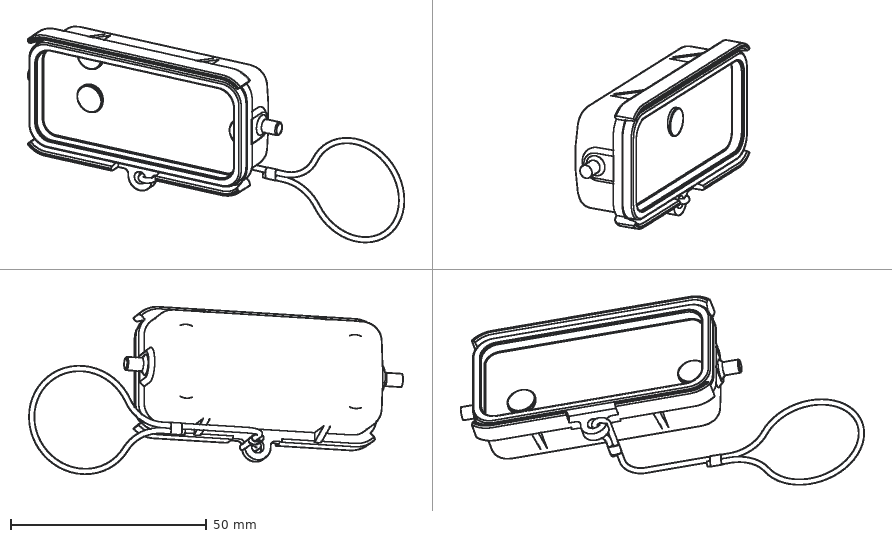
import cadquery as cq
import math


body_half_x, body_half_z = 30.3, 13.9
body_corner_radius = 5.0
back_y = 19.1
crown_radius = 56.7
back_fillet = 2.8

wall, long_wall = 1.5, 2.0
cavity_half_x, cavity_half_z = body_half_x - wall, body_half_z - long_wall
cavity_corner_radius = body_corner_radius - wall
floor_fillet = 1.9
recess_half_x, recess_half_z = 29.2, 12.4
recess_corner_radius = 4.2
recess_end_y = 3.9
mouth_chamfer = 0.3

rim_y = 0.6
flange_front_y, flange_back_y = 3.5, 6.1
lip_half_x, lip_half_z = 31.4, 14.5
flange_half_x, flange_half_z = 31.7, 14.7
flange_corner_radius = 5.6
rim_chamfer = 0.4

skirt_width = 2.1
skirt_half_x, skirt_half_z = flange_half_x + skirt_width, flange_half_z + skirt_width
skirt_root_gap, skirt_tip_gap = 0.2, 0.8
skirt_tip_chamfer, skirt_back_chamfer = 0.4, 0.7
skirt_draft = 1.0

pin_y = 11.3
boss_face_x = 31.5
boss_root_radius, boss_face_radius = 4.5, 3.4
collar_end_x, collar_root_radius = 32.5, 2.7
pin_end_x, pin_radius = 36.8, 1.8
pin_chamfer = 0.3

rib_x, rib_width = 16.1, 1.8
rib_end_y = 14.6
rib_height = 2.5

pad_x, pad_z, pad_radius = 22.6, 6.0, 3.7
pad_face_y = 16.5
pad_chamfer = 0.2

lug_half_width = 6.5
lug_z = -18.4
lug_radius, lug_hole_radius = 3.5, 1.6
lug_fillet = 1.2

cord_radius = 0.7
strand_pitch = 1.49
cord_y = 24.2
cord_x = 3.5
cord_bend_radius = 4.8
eye_merge_start_y, eye_merge_end_y, eye_tail_y = 6.2, 10.8, 16.3
eye_front_y = 4.5
loop_start_x, loop_centre_x, loop_radius = 30.7, 52.0, 13.5
cord_tail_x = 24.7
ferrule_radius = 0.9
sleeve_margin = 0.1
eye_ferrule_y, eye_ferrule_length = 12.4, 3.2
loop_ferrule_x, loop_ferrule_length = 25.7, 2.9


def rounded_block(half_x, half_z, corner_radius, start_y, end_y):
    """Block between two Y planes with its edges along Y rounded."""
    block = cq.Workplane("XZ", origin=(0, start_y, 0)).rect(2 * half_x, 2 * half_z)
    return block.extrude(start_y - end_y).edges("|Y").fillet(corner_radius)


def crowned_block(half_x, half_z, corner_radius, start_y, end_y, radius, fillet):
    """Rounded block whose far end is part of a cylinder along X, with a filleted border."""
    edge_y = end_y - radius + math.sqrt(radius**2 - half_z**2)
    profile = (
        cq.Workplane("YZ")
        .moveTo(start_y, -half_z)
        .lineTo(edge_y, -half_z)
        .threePointArc((end_y, 0), (edge_y, half_z))
        .lineTo(start_y, half_z)
        .close()
        .extrude(half_x, both=True)
    )
    block = profile.edges("|Y").fillet(corner_radius)
    return block.faces(">Y").edges().fillet(fillet)


def make_body():
    """Solid cover with its flange and rim lip."""
    body = crowned_block(
        body_half_x, body_half_z, body_corner_radius, flange_front_y, back_y, crown_radius, back_fillet
    )
    lip = rounded_block(lip_half_x, lip_half_z, flange_corner_radius, rim_y, flange_front_y)
    lip = lip.faces("<Y").edges().chamfer(rim_chamfer)
    flange = rounded_block(
        flange_half_x, flange_half_z, flange_corner_radius, flange_front_y, flange_back_y
    )
    return body.union(lip).union(flange)


def make_cavity():
    """Cavity with a crowned floor, the recess at the rim and a chamfered mouth."""
    cavity = crowned_block(
        cavity_half_x,
        cavity_half_z,
        cavity_corner_radius,
        rim_y,
        back_y - wall,
        crown_radius - wall,
        floor_fillet,
    )
    recess = rounded_block(recess_half_x, recess_half_z, recess_corner_radius, rim_y, recess_end_y)
    mouth = rounded_block(
        recess_half_x + mouth_chamfer,
        recess_half_z + mouth_chamfer,
        recess_corner_radius + mouth_chamfer,
        rim_y,
        rim_y + 2 * mouth_chamfer,
    )
    mouth = mouth.faces(">Y").edges().chamfer(mouth_chamfer)
    return cavity.union(recess).union(mouth)


def make_skirts():
    """Band around the flange, undercut by a flaring gap and kept on the long sides only."""
    front = (
        cq.Workplane("XZ", origin=(0, flange_front_y, 0))
        .sketch()
        .rect(2 * skirt_half_x, 2 * skirt_half_z)
        .vertices()
        .fillet(flange_corner_radius + skirt_width)
        .finalize()
        .extrude(flange_front_y, taper=skirt_draft)
    )
    rear = rounded_block(
        skirt_half_x,
        skirt_half_z,
        flange_corner_radius + skirt_width,
        flange_front_y,
        flange_back_y,
    )
    rear = rear.faces(">Y").edges().chamfer(skirt_back_chamfer)
    flare = math.degrees(math.atan((skirt_tip_gap - skirt_root_gap) / flange_front_y))
    gap = (
        cq.Workplane("XZ", origin=(0, flange_front_y, 0))
        .sketch()
        .rect(2 * (flange_half_x + skirt_root_gap), 2 * (flange_half_z + skirt_root_gap))
        .vertices()
        .fillet(flange_corner_radius + skirt_root_gap)
        .finalize()
        .extrude(flange_front_y, taper=-flare)
    )
    band = front.union(rear).cut(gap)
    band = band.faces("<Y").edges().chamfer(skirt_tip_chamfer)

    corner_x = flange_half_x - flange_corner_radius
    corner_z = flange_half_z - flange_corner_radius
    reach = 2 * flange_corner_radius
    sector = (
        cq.Workplane("XZ")
        .polyline(
            [
                (-corner_x, corner_z),
                (-corner_x - reach, corner_z + reach),
                (corner_x + reach, corner_z + reach),
                (corner_x, corner_z),
            ]
        )
        .close()
        .extrude(-flange_back_y)
    )
    upper = band.intersect(sector)
    lug_gap = (
        cq.Workplane("XZ")
        .center(0, -skirt_half_z)
        .rect(2 * lug_half_width, 2 * skirt_half_z)
        .extrude(-flange_back_y)
    )
    lower = upper.mirror("XY").cut(lug_gap)
    return upper.union(lower)


def make_latch_pin():
    """Boss, conical collar and pin on the +X side."""
    rise = boss_face_x - body_half_x
    flange_mid_y = (flange_front_y + flange_back_y) / 2
    length = pin_y - flange_mid_y

    def boss_layer(radius):
        """Round end with a straight tail that runs into the flange."""
        return (
            cq.Sketch()
            .circle(radius)
            .push([(-length / 2, 0)])
            .rect(length, 2 * radius)
            .reset()
            .clean()
        )

    boss = (
        cq.Workplane("YZ", origin=(body_half_x, pin_y, 0))
        .placeSketch(
            boss_layer(boss_root_radius),
            boss_layer(boss_face_radius).moved(cq.Location(cq.Vector(0, 0, rise))),
        )
        .loft()
    )
    pin = (
        cq.Workplane("XY", origin=(0, pin_y, 0))
        .moveTo(body_half_x, 0)
        .lineTo(body_half_x, collar_root_radius)
        .lineTo(boss_face_x, collar_root_radius)
        .lineTo(collar_end_x, pin_radius)
        .lineTo(pin_end_x, pin_radius)
        .lineTo(pin_end_x, 0)
        .close()
        .revolve(360, (0, 0, 0), (1, 0, 0))
    )
    return boss.union(pin)


def make_rib(x):
    """Triangular rib on the +Z wall, rooted inside the wall and the flange."""
    root_z = body_half_z - wall / 2
    top_z = body_half_z + rib_height
    return (
        cq.Workplane("YZ", origin=(x - rib_width / 2, 0, 0))
        .moveTo(flange_back_y, top_z)
        .lineTo(rib_end_y, body_half_z)
        .lineTo(rib_end_y, root_z)
        .lineTo(flange_front_y, root_z)
        .lineTo(flange_front_y, top_z)
        .close()
        .extrude(rib_width)
    )


def make_pads():
    """Pads with flat faces, rooted in the middle of the back wall."""
    root_y = back_y - wall / 2
    return (
        cq.Workplane("XZ", origin=(0, pad_face_y, 0))
        .rect(2 * pad_x, 2 * pad_z, forConstruction=True)
        .vertices()
        .circle(pad_radius)
        .extrude(pad_face_y - root_y)
        .faces("<Y")
        .edges()
        .chamfer(pad_chamfer)
    )


def make_lug():
    """Plate under the flange with a rounded ear and a hole for the cord."""
    thickness = flange_back_y - flange_front_y
    plate_top = -body_half_z
    plane = cq.Workplane("XZ", origin=(0, flange_front_y, 0))
    plate = (
        plane.center(0, (plate_top - skirt_half_z) / 2)
        .rect(2 * lug_half_width, skirt_half_z + plate_top)
        .extrude(-thickness)
    )
    neck = (
        plane.center(0, (plate_top + lug_z) / 2)
        .rect(2 * lug_radius, plate_top - lug_z)
        .extrude(-thickness)
    )
    lug = plate.union(neck)
    margin = lug_fillet / 10
    inner_corners = cq.selectors.BoxSelector(
        (-lug_radius - margin, 0, -skirt_half_z - margin),
        (lug_radius + margin, back_y, -skirt_half_z + margin),
    )
    lug = lug.edges("|Y").edges(inner_corners).fillet(lug_fillet)
    lug = lug.union(plane.center(0, lug_z).circle(lug_radius).extrude(-thickness))
    return lug.cut(plane.center(0, lug_z).circle(lug_hole_radius).extrude(-thickness))


def sweep_cord(path, start, direction):
    """Round cord along a path, from its first point and direction."""
    section = cq.Plane(origin=start, normal=direction)
    return cq.Workplane(section).circle(cord_radius).sweep(path)


def make_eye():
    """Cord looped through the lug hole, led to the back and bent toward +X as far as the loop."""
    half_turn = cord_x / 2
    bend_start_y = cord_y - cord_bend_radius
    bend_x = cord_x + cord_bend_radius
    diagonal = cord_bend_radius * math.sqrt(0.5)
    tail_x = cord_x - strand_pitch
    main = (
        cq.Workplane("XY", origin=(0, 0, lug_z))
        .moveTo(0, eye_merge_start_y)
        .lineTo(0, eye_front_y)
        .threePointArc((half_turn, eye_front_y - half_turn), (cord_x, eye_front_y))
        .lineTo(cord_x, bend_start_y)
        .threePointArc((bend_x - diagonal, bend_start_y + diagonal), (bend_x, cord_y))
        .lineTo(loop_start_x, cord_y)
    )
    tail = (
        cq.Workplane("XY", origin=(0, 0, lug_z))
        .moveTo(0, eye_merge_start_y)
        .spline(
            [(0, eye_merge_start_y), (tail_x, eye_merge_end_y)], tangents=[(0, 1), (0, 1)]
        )
        .lineTo(tail_x, eye_tail_y)
    )
    cord = sweep_cord(main, (0, eye_merge_start_y, lug_z), (0, -1, 0))
    return cord.union(sweep_cord(tail, (0, eye_merge_start_y, lug_z), (0, 1, 0)))


def make_loop():
    """Ring of cord, blended by two tangent arcs into a pair of parallel strands."""
    span = loop_centre_x - loop_start_x
    lower_z = lug_z - strand_pitch

    upper_radius = (span**2 - loop_radius**2) / (2 * loop_radius)
    lower_radius = (span**2 + strand_pitch**2 - loop_radius**2) / (2 * (loop_radius - strand_pitch))

    def ring_point(height):
        reach = math.hypot(span, height)
        return (
            loop_centre_x - loop_radius * span / reach,
            lug_z + loop_radius * height / reach,
        )

    upper_half_angle = math.atan2(span, upper_radius) / 2
    upper_mid = (
        loop_start_x + upper_radius * math.sin(upper_half_angle),
        lug_z + upper_radius * (1 - math.cos(upper_half_angle)),
    )
    upper_join = ring_point(upper_radius)
    lower_join = ring_point(-strand_pitch - lower_radius)
    ring_path = (
        cq.Workplane("XZ", origin=(0, cord_y, 0))
        .moveTo(loop_start_x, lug_z)
        .threePointArc(upper_mid, upper_join)
        .threePointArc((loop_centre_x + loop_radius, lug_z), lower_join)
    )
    tail_path = (
        cq.Workplane("XZ", origin=(0, cord_y, 0))
        .moveTo(cord_tail_x, lower_z)
        .lineTo(loop_start_x, lower_z)
        .tangentArcPoint(lower_join, relative=False)
    )
    ring = sweep_cord(ring_path, (loop_start_x, cord_y, lug_z), (1, 0, 0))
    return ring.union(sweep_cord(tail_path, (cord_tail_x, cord_y, lower_z), (1, 0, 0)))


def make_ferrules():
    """Crimped sleeves, each around two parallel strands."""
    sleeve_length = strand_pitch + 2 * cord_radius + sleeve_margin
    eye_ferrule = (
        cq.Workplane("XZ", origin=(cord_x - strand_pitch / 2, eye_ferrule_y, lug_z))
        .slot2D(sleeve_length, 2 * ferrule_radius)
        .extrude(-eye_ferrule_length)
    )
    loop_ferrule = (
        cq.Workplane("YZ", origin=(loop_ferrule_x, cord_y, lug_z - strand_pitch / 2))
        .slot2D(sleeve_length, 2 * ferrule_radius, 90)
        .extrude(loop_ferrule_length)
    )
    return eye_ferrule.union(loop_ferrule)


pin_right = make_latch_pin()
pin_left = pin_right.mirror("YZ")
pin_right = pin_right.faces(">X").edges().chamfer(pin_chamfer)

cover = make_body().union(make_skirts()).union(pin_right).union(pin_left)
for x in (-rib_x, rib_x):
    rib = make_rib(x)
    cover = cover.union(rib).union(rib.mirror("XY"))
cover = cover.union(make_lug()).cut(make_cavity()).union(make_pads())

result = cover.union(make_eye()).union(make_loop()).union(make_ferrules())